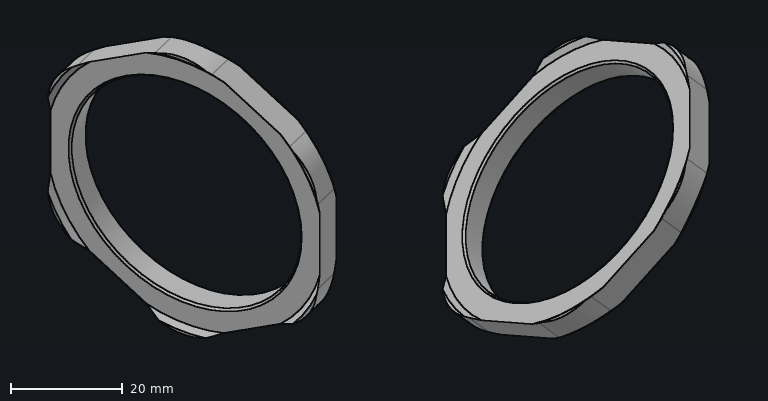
import cadquery as cq
import math

height = 62.1
width_across_flats = 57.0
thickness = 6.5
apothem = width_across_flats / 2
sharp_corner_radius = apothem / math.cos(math.pi / 6)
corner_fillet = (sharp_corner_radius - height / 2) / (1 / math.cos(math.pi / 6) - 1)

bore_radius = 48.5 / 2
bore_chamfer = 0.45

recess_depth = 1.0
recess_floor_radius = 29.3
recess_rim_radius = 30.4

bevel_start_radius = 29.4

front = -thickness / 2
rear = thickness / 2
recess_floor = front + recess_depth


def hexagon_blank():
    """Hexagonal plate centred on the origin, extruded along Y."""
    corners = [
        (sharp_corner_radius * math.sin(i * math.pi / 3),
         sharp_corner_radius * math.cos(i * math.pi / 3))
        for i in range(6)
    ]
    plate = cq.Workplane("XZ", origin=(0, rear, 0)).polyline(corners).close().extrude(thickness)
    return plate.edges("|Y").fillet(corner_fillet)


def turned_around_y(profile):
    """Solid of revolution about the Y axis from (radius, y) points."""
    return cq.Workplane("XY").polyline(profile).close().revolve(360, (0, 0), (0, 1))


envelope_radius = bevel_start_radius + thickness
envelope = turned_around_y([
    (bore_radius, rear - bore_chamfer),
    (bore_radius + bore_chamfer, rear),
    (bevel_start_radius, rear),
    (envelope_radius, front),
    (recess_rim_radius, front),
    (recess_floor_radius, recess_floor),
    (bore_radius + bore_chamfer, recess_floor),
    (bore_radius, recess_floor + bore_chamfer),
])

result = hexagon_blank().intersect(envelope)